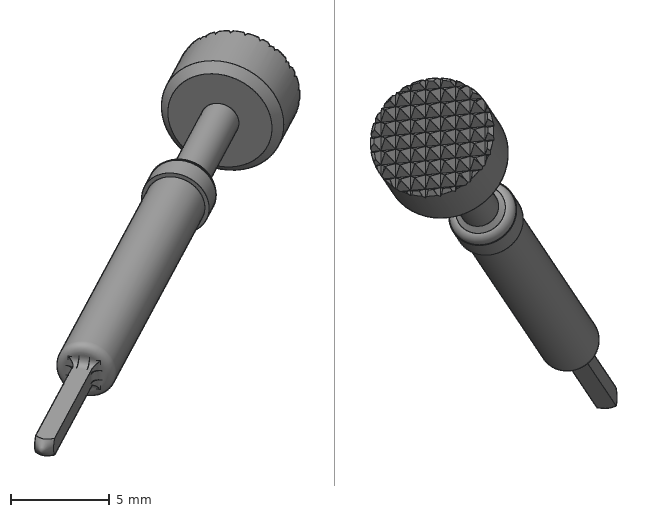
import cadquery as cq
import math


total_length = 37.3
pin_length = 8.0
barrel_length = 17.0
collar_length = 2.0
head_length = 4.0

head_radius = 3.25
plunger_radius = 1.0
collar_radius = 1.8
shoulder_radius = 1.75
barrel_radius = 1.55
pin_width = 1.0

head_chamfer = 0.5
shoulder_round = 0.45
collar_cone_height = 0.22
barrel_round = 0.5
pin_tip_angle = 45.0

flare_radius = 0.355
rib_width = 0.55
rib_radius = 0.45

tooth_pitch = 0.8
tooth_angle = 60.0

barrel_start = pin_length
collar_start = barrel_start + barrel_length
collar_end = collar_start + collar_length
head_start = total_length - head_length

tooth_depth = tooth_pitch / 2 / math.tan(math.radians(tooth_angle / 2))
teeth_per_side = math.ceil(head_radius / tooth_pitch)
half_pin = pin_width / 2
overlap = 0.37
root_y = barrel_start + overlap


def rod(radius, start, end):
    """Cylinder on the Y axis between two stations."""
    return cq.Workplane("XZ", origin=(0, start, 0)).circle(radius).extrude(start - end)


def extrude_through(outline, half_depth):
    """Extrude an XY outline equally to both sides of the axis plane."""
    return outline.extrude(half_depth, both=True)


def turn_quarter(solid):
    """Turn a solid by 90 degrees about the Y axis."""
    return solid.rotate((0, 0, 0), (0, 1, 0), 90)


def make_head():
    """Disc chamfered at both rims, its +Y face cut into sharp pyramids."""
    blank_end = total_length + overlap
    rim_start = total_length - head_chamfer
    blank = (
        cq.Workplane("XY")
        .moveTo(0, head_start)
        .lineTo(head_radius - head_chamfer, head_start)
        .lineTo(head_radius, head_start + head_chamfer)
        .lineTo(head_radius, rim_start)
        .lineTo(head_radius - (blank_end - rim_start), blank_end)
        .lineTo(0, blank_end)
        .close()
        .revolve(360, (0, 0, 0), (0, 1, 0))
    )

    groove_y = total_length - tooth_depth
    half_width = (teeth_per_side + 0.5) * tooth_pitch
    ridges = cq.Workplane("XY").moveTo(-half_width, groove_y)
    for index in range(-teeth_per_side, teeth_per_side + 1):
        tip_x = index * tooth_pitch
        ridges = ridges.lineTo(tip_x, total_length).lineTo(tip_x + tooth_pitch / 2, groove_y)
    back_y = head_start - overlap
    ridges = ridges.lineTo(half_width, back_y).lineTo(-half_width, back_y).close()
    ridges = extrude_through(ridges, half_width)
    return blank.intersect(ridges).intersect(turn_quarter(ridges))


def make_body():
    """Barrel with a rounded end, and the plunger joining it to the head."""
    barrel = rod(barrel_radius, barrel_start, collar_start + overlap).faces("<Y").edges().fillet(barrel_round)
    plunger = rod(plunger_radius, collar_start, head_start + overlap)
    return barrel.union(plunger)


def make_collar():
    """Collar stepping in to a rounded shoulder, then a shallow cone rising to the plunger."""
    diagonal = shoulder_round * math.sqrt(0.5)
    round_end = collar_end - collar_cone_height
    round_start = round_end - shoulder_round
    round_center = shoulder_radius - shoulder_round
    return (
        cq.Workplane("XY")
        .moveTo(0, collar_start)
        .lineTo(collar_radius, collar_start)
        .lineTo(collar_radius, round_start)
        .lineTo(shoulder_radius, round_start)
        .threePointArc((round_center + diagonal, round_start + diagonal), (round_center, round_end))
        .lineTo(plunger_radius, collar_end)
        .lineTo(0, collar_end)
        .close()
        .revolve(360, (0, 0, 0), (0, 1, 0))
    )


def flare_slab(radius, width):
    """Slab around the pin whose two X sides curve outward to meet the barrel end."""
    tip_y = barrel_start - radius
    reach = half_pin + radius
    arc_offset = radius * (1 - math.sqrt(0.5))
    outline = (
        cq.Workplane("XY")
        .moveTo(-half_pin, tip_y)
        .lineTo(half_pin, tip_y)
        .threePointArc((half_pin + arc_offset, barrel_start - arc_offset), (reach, barrel_start))
        .lineTo(reach, root_y)
        .lineTo(-reach, root_y)
        .lineTo(-reach, barrel_start)
        .threePointArc((-half_pin - arc_offset, barrel_start - arc_offset), (-half_pin, tip_y))
        .close()
    )
    return extrude_through(outline, width / 2)


def make_pin_base():
    """Square flare at the root of the pin, with a narrow concave rib on each of its sides."""
    flare_width = pin_width + 2 * flare_radius
    flare = flare_slab(flare_radius, flare_width)
    ribs = flare_slab(rib_radius, rib_width)
    return flare.intersect(turn_quarter(flare)).union(ribs).union(turn_quarter(ribs))


def make_pin():
    """Square pin ending in a conical tip."""
    shank = cq.Workplane("XZ", origin=(0, root_y, 0)).rect(pin_width, pin_width).extrude(root_y)

    cone_radius = pin_width
    cone_length = cone_radius / math.tan(math.radians(pin_tip_angle))
    point = (
        cq.Workplane("XY")
        .lineTo(cone_radius, cone_length)
        .lineTo(cone_radius, root_y)
        .lineTo(0, root_y)
        .close()
        .revolve(360, (0, 0, 0), (0, 1, 0))
    )
    return shank.intersect(point)


result = make_body()
for piece in (make_collar(), make_head(), make_pin_base(), make_pin()):
    result = result.union(piece)